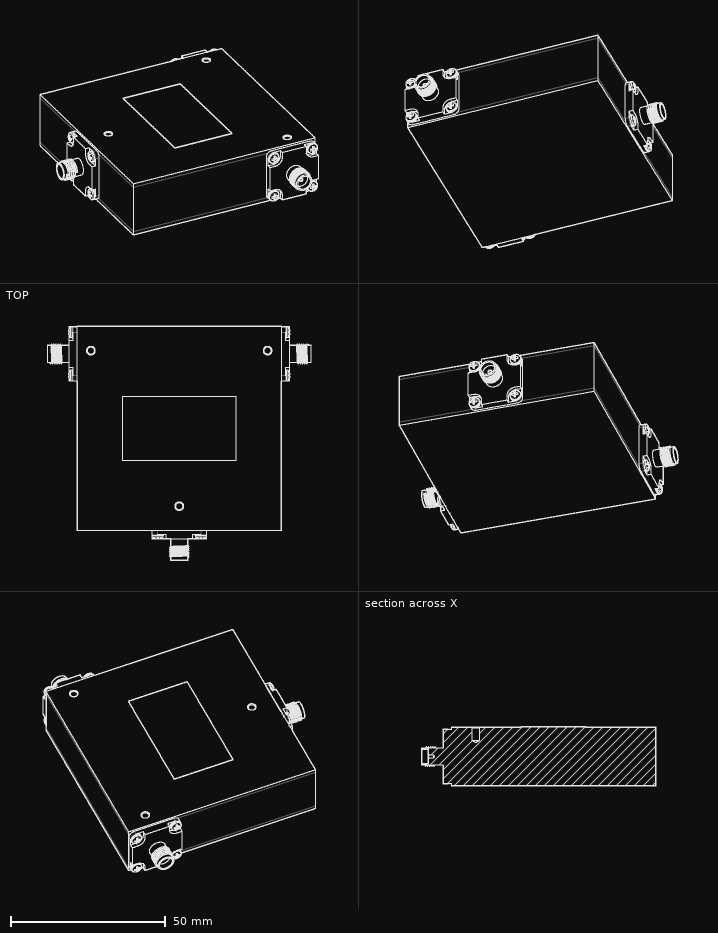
import cadquery as cq
import math

overall_length = 85.1
body_side = 65.95
body_height = 19.0
lid_thickness = 1.3
label_length = 36.6
label_width = 20.8
label_thickness = 0.2

hole_dia = 2.3
hole_mouth_dia = 2.8
hole_depth = 4.25
drill_tip_angle = 118
hole_pitch_x = 57.0
hole_pitch_y = 50.2

flange_side = 17.6
flange_thickness = 2.6
washer_dia = 3.7
seat_dia = 5.3
seat_depth = 1.4
side_connector_setback = 8.9

washer_thickness = 0.3
head_dia = 3.5
head_rim_height = 0.85
head_height = 1.5
cross_length = 2.3
cross_width = 0.7
cross_depth = 0.8
cross_taper = 20

barrel_dia = 5.6
barrel_length = (overall_length - body_side) / 2 - flange_thickness
bore_dia = 4.6
bore_depth = 2.0
contact_mouth_dia = 1.2
contact_bore_dia = 0.9
contact_bore_depth = 1.7
thread_dia = 6.4
thread_pitch = 0.71
thread_turns = 5
thread_root_width = 0.64
thread_root_sink = 0.1
thread_tip_gap = 0.7

half_body = body_side / 2
half_screw_pitch = (flange_side - washer_dia) / 2
corner_signs = [(-1, -1), (-1, 1), (1, -1), (1, 1)]


def make_body():
    """Lids and frame are flush, so their seams stay visible on the four sides."""
    lid = cq.Workplane("XY").box(body_side, body_side, lid_thickness, centered=(True, True, False))
    frame_height = body_height - 2 * lid_thickness
    frame = cq.Workplane("XY").box(body_side, body_side, frame_height, centered=(True, True, False))
    label = cq.Workplane("XY").box(label_length, label_width, label_thickness, centered=(True, True, False))
    body = lid.union(frame.translate((0, 0, lid_thickness)), clean=False)
    body = body.union(lid.translate((0, 0, body_height - lid_thickness)), clean=False)
    return body.union(label.translate((0, 0, body_height)), clean=False)


def make_hole(dia, mouth_dia, depth):
    """Cutter for a blind drilled hole with a chamfered mouth at z = 0."""
    radius = dia / 2
    mouth_radius = mouth_dia / 2
    mouth_depth = mouth_radius - radius
    tip_length = radius / math.tan(math.radians(drill_tip_angle / 2))
    return (
        cq.Workplane("XZ")
        .moveTo(0, 0)
        .lineTo(mouth_radius, 0)
        .lineTo(radius, -mouth_depth)
        .lineTo(radius, -depth)
        .lineTo(0, -depth - tip_length)
        .close()
        .revolve(360, (0, 0), (0, 1))
    )


def make_flange():
    """Square plate with rounded corners, cut down around each screw."""
    flange = (
        cq.Workplane("XY")
        .rect(flange_side, flange_side)
        .extrude(flange_thickness)
        .edges("|Z")
        .fillet(washer_dia / 2)
    )
    seat = (
        cq.Workplane("XY")
        .workplane(offset=flange_thickness - seat_depth)
        .pushPoints([(sign_x * flange_side / 2, sign_y * flange_side / 2) for sign_x, sign_y in corner_signs])
        .rect(seat_dia + washer_dia, seat_dia + washer_dia)
        .extrude(seat_depth)
        .edges("|Z")
        .fillet(seat_dia / 2)
    )
    return flange.cut(seat)


def make_screw():
    radius = head_dia / 2
    dome_height = head_height - head_rim_height
    dome_radius = (radius**2 + dome_height**2) / (2 * dome_height)
    middle_x = radius / 2
    middle_z = head_height - dome_radius + math.sqrt(dome_radius**2 - middle_x**2)
    screw = (
        cq.Workplane("XZ")
        .moveTo(0, 0)
        .lineTo(washer_dia / 2, 0)
        .lineTo(washer_dia / 2, washer_thickness)
        .lineTo(radius, washer_thickness)
        .lineTo(radius, head_rim_height)
        .threePointArc((middle_x, middle_z), (0, head_height))
        .close()
        .revolve(360, (0, 0), (0, 1))
    )
    top = cq.Workplane("XY").workplane(offset=head_height)
    for length_x, length_y in ((cross_length, cross_width), (cross_width, cross_length)):
        screw = screw.cut(top.rect(length_x, length_y).extrude(-cross_depth, taper=cross_taper))
    return screw


def make_barrel():
    """Plain barrel with a raised helical thread, a bore and a centre contact socket."""
    barrel = cq.Workplane("XY").circle(barrel_dia / 2).extrude(barrel_length)

    root_radius = barrel_dia / 2 - thread_root_sink
    half_root = thread_root_width / 2
    thread_length = thread_turns * thread_pitch
    helix = cq.Wire.makeHelix(thread_pitch, thread_length, root_radius)
    ridge = (
        cq.Workplane("XZ")
        .moveTo(root_radius, -half_root)
        .lineTo(thread_dia / 2, 0)
        .lineTo(root_radius, half_root)
        .close()
        .sweep(cq.Workplane(obj=helix), isFrenet=True)
    )
    thread_start = barrel_length - thread_tip_gap - half_root - thread_length
    barrel = barrel.union(ridge.translate((0, 0, thread_start)))

    bore_floor = barrel_length - bore_depth
    bore = cq.Workplane("XY").workplane(offset=bore_floor).circle(bore_dia / 2).extrude(bore_depth)
    contact = make_hole(contact_bore_dia, contact_mouth_dia, contact_bore_depth)
    return barrel.cut(bore).cut(contact.translate((0, 0, bore_floor)))


def make_connector():
    """Connector standing on z = 0, turned at the end to point along -Y."""
    connector = make_flange().union(make_barrel().translate((0, 0, flange_thickness)))
    screw = make_screw()
    seat_floor = flange_thickness - seat_depth
    for sign_x, sign_y in corner_signs:
        place = (sign_x * half_screw_pitch, sign_y * half_screw_pitch, seat_floor)
        connector = connector.union(screw.translate(place))
    return connector.rotate((0, 0, 0), (1, 0, 0), 90)


result = make_body()

hole = make_hole(hole_dia, hole_mouth_dia, hole_depth)
for side_x, side_y in ((-1, 1), (1, 1), (0, -1)):
    place = (side_x * hole_pitch_x / 2, side_y * hole_pitch_y / 2, body_height)
    result = result.cut(hole.translate(place), clean=False)

connector = make_connector()
side_connector_y = half_body - side_connector_setback
connector_places = (
    (0, 0, -half_body),
    (-90, -half_body, side_connector_y),
    (90, half_body, side_connector_y),
)
for angle, x, y in connector_places:
    placed = connector.rotate((0, 0, 0), (0, 0, 1), angle).translate((x, y, body_height / 2))
    result = result.union(placed, clean=False)